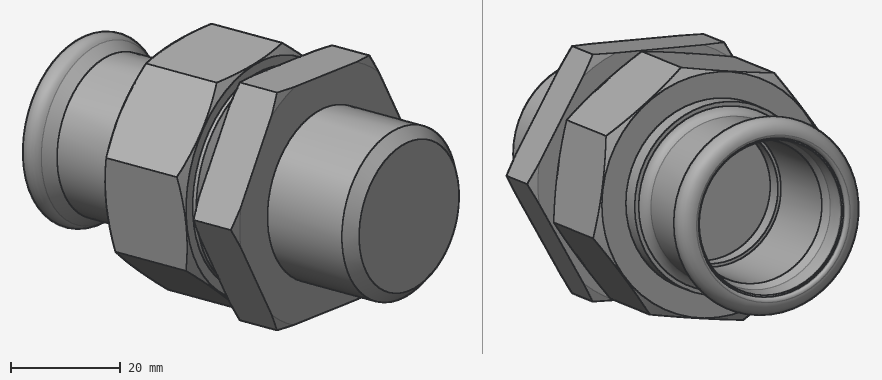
import cadquery as cq
import math

neck_start = 7.4
neck_end = 19.1
collar_start = 21.0
nut_start = 24.7
nut_end = 43.75
relief_slope_start = 44.6
relief_slope_end = 45.4
relief_start = 46.2
relief_end = 46.85
relief_flare_end = 47.7
hexagon_start = 48.1
hexagon_end = 57.9
tail_chamfer_start = 75.45
total_length = 77.7

neck_radius = 31.3 / 2
collar_radius = 36.0 / 2
union_thread_radius = 41.9 / 2
relief_radius = 37.9 / 2
relief_edge_rise = 0.55
relief_fillet_radius = 0.9
tail_radius = 33.25 / 2
tail_end_radius = 28.8 / 2

bead_section_radius = 2.9
bead_center_radius = 15.55
bead_arc_end = 5.05
neck_flare_radius = 17.2
neck_flare_fillet_radius = 2.8

lip_fillet_radius = 0.8
lip_bore_radius = bead_center_radius - lip_fillet_radius
lip_bore_end = 1.1
seal_seat_radius = 28.8 / 2
seal_seat_end = 1.6
seat_taper_radius = 28.2 / 2
seat_taper_end = 5.4
socket_taper_end = 7.4
socket_radius = 26.8 / 2
socket_end = nut_start
floor_recess_radius = 25.6 / 2
floor_recess_end = 28.0

octagon_across_flats = 45.9
octagon_corner_angle = 30.4
octagon_rim_radius = 22.85
octagon_chamfer_angle = 30.0
hexagon_across_corners = 53.15
hexagon_rim_radius = 24.7
hexagon_chamfer_angle = 15.0


def turned_body():
    """Bead, neck, collar, union thread and tail revolved in one piece."""
    bead_end_rise = math.sqrt(bead_section_radius**2 - (bead_arc_end - bead_section_radius) ** 2)
    profile = (
        cq.Workplane("XY")
        .lineTo(0, bead_center_radius)
        .threePointArc(
            (bead_section_radius, bead_center_radius + bead_section_radius),
            (bead_arc_end, bead_center_radius + bead_end_rise),
        )
        .lineTo(neck_start, neck_radius)
        .lineTo(neck_end, neck_radius)
        .radiusArc((collar_start, neck_flare_radius), -neck_flare_fillet_radius)
        .lineTo(collar_start, collar_radius)
        .lineTo(nut_start, collar_radius)
        .lineTo(nut_start, union_thread_radius)
        .lineTo(relief_slope_start, union_thread_radius)
        .lineTo(relief_slope_end, relief_radius + relief_edge_rise)
        .radiusArc((relief_start, relief_radius), -relief_fillet_radius)
        .lineTo(relief_end, relief_radius)
        .radiusArc((relief_flare_end, relief_radius + relief_edge_rise), -relief_fillet_radius)
        .lineTo(hexagon_start, relief_radius + relief_edge_rise)
        .lineTo(hexagon_start, tail_radius)
        .lineTo(tail_chamfer_start, tail_radius)
        .lineTo(total_length, tail_end_radius)
        .lineTo(total_length, 0)
        .close()
    )
    return profile.revolve(360, (0, 0, 0), (1, 0, 0))


def chamfered_prism(sides, corner_diameter, corner_angle, start, end, rim_radius, chamfer_angle):
    """Wrench prism along X, with its corners coned down to the rim radius at both ends."""
    corner_radius = corner_diameter / 2
    setback = (corner_radius - rim_radius) * math.tan(math.radians(chamfer_angle))
    prism = (
        cq.Workplane("YZ", origin=(start, 0, 0))
        .polygon(sides, corner_diameter)
        .extrude(end - start)
        .rotate((0, 0, 0), (1, 0, 0), corner_angle)
    )
    envelope = (
        cq.Workplane("XY")
        .polyline([
            (start, 0),
            (start, rim_radius),
            (start + setback, corner_radius),
            (end - setback, corner_radius),
            (end, rim_radius),
            (end, 0),
        ])
        .close()
        .revolve(360, (0, 0, 0), (1, 0, 0))
    )
    return prism.intersect(envelope)


def socket_cavity():
    """Blind bore with a rounded lip, a tapered seal seat and a smaller recess in its floor."""
    profile = (
        cq.Workplane("XY")
        .lineTo(0, bead_center_radius)
        .radiusArc((lip_fillet_radius, lip_bore_radius), -lip_fillet_radius)
        .lineTo(lip_bore_end, lip_bore_radius)
        .lineTo(lip_bore_end, seal_seat_radius)
        .lineTo(seal_seat_end, seal_seat_radius)
        .lineTo(seat_taper_end, seat_taper_radius)
        .lineTo(socket_taper_end, socket_radius)
        .lineTo(socket_end, socket_radius)
        .lineTo(socket_end, floor_recess_radius)
        .lineTo(floor_recess_end, floor_recess_radius)
        .lineTo(floor_recess_end, 0)
        .close()
    )
    return profile.revolve(360, (0, 0, 0), (1, 0, 0))


octagon_across_corners = octagon_across_flats / math.cos(math.pi / 8)
nut = chamfered_prism(
    8, octagon_across_corners, octagon_corner_angle,
    nut_start, nut_end, octagon_rim_radius, octagon_chamfer_angle,
)
hexagon = chamfered_prism(
    6, hexagon_across_corners, 0,
    hexagon_start, hexagon_end, hexagon_rim_radius, hexagon_chamfer_angle,
)
fitting = turned_body().union(nut).union(hexagon).cut(socket_cavity())
result = fitting.translate((-total_length / 2, 0, 0))